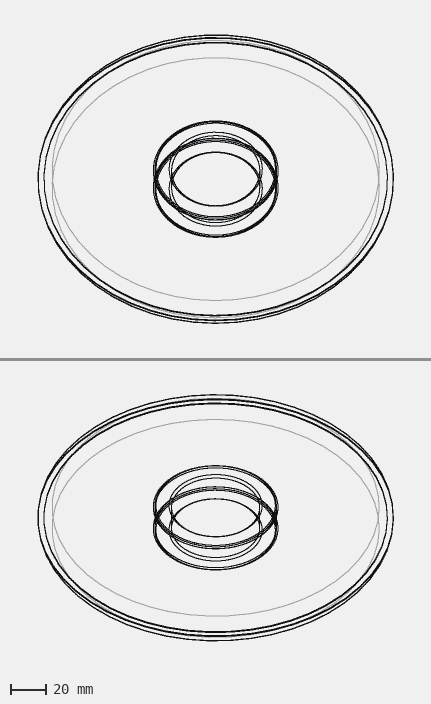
import cadquery as cq

wheel_diameter = 202.0
wheel_thickness = 16.2
rim_radius = wheel_thickness / 2

groove_bottom_diameter = 195.1
groove_width = 0.6

hub_diameter = 69.0
hub_height = 18.5
hub_edge_chamfer = 0.6
bore_diameter = 50.0
bore_chamfer = 1.5

seat_mouth_diameter = 71.0
seat_chamfer = (seat_mouth_diameter - hub_diameter) / 2


def ring(outer_diameter, inner_diameter, height):
    """Plain ring around Z, centred on the XY plane."""
    return (
        cq.Workplane("XY", origin=(0, 0, -height / 2))
        .circle(outer_diameter / 2)
        .circle(inner_diameter / 2)
        .extrude(height)
    )


def make_wheel():
    """Disc with a semicircular rim, a rim groove and a chamfered hub seat."""
    seat_radius = hub_diameter / 2
    mouth_radius = seat_mouth_diameter / 2
    outer_radius = wheel_diameter / 2
    flat_radius = outer_radius - rim_radius
    half_thickness = wheel_thickness / 2

    wheel = (
        cq.Workplane("XZ")
        .moveTo(seat_radius, seat_chamfer - half_thickness)
        .lineTo(mouth_radius, -half_thickness)
        .lineTo(flat_radius, -half_thickness)
        .threePointArc((outer_radius, 0), (flat_radius, half_thickness))
        .lineTo(mouth_radius, half_thickness)
        .lineTo(seat_radius, half_thickness - seat_chamfer)
        .close()
        .revolve(360, (0, 0, 0), (0, 1, 0))
    )
    cutter_diameter = wheel_diameter + 2 * rim_radius
    return wheel.cut(ring(cutter_diameter, groove_bottom_diameter, groove_width))


def make_hub():
    """Ring with chamfers on its outer edges and at both ends of its bore."""
    hub = ring(hub_diameter, bore_diameter, hub_height)
    bore_edges = cq.selectors.RadiusNthSelector(0)
    outer_edges = cq.selectors.RadiusNthSelector(-1)
    hub = hub.edges("%CIRCLE").edges(outer_edges).chamfer(hub_edge_chamfer)
    return hub.edges("%CIRCLE").edges(bore_edges).chamfer(bore_chamfer)


wheel = make_wheel()
hub = make_hub()

result = cq.Compound.makeCompound([wheel.val(), hub.val()])